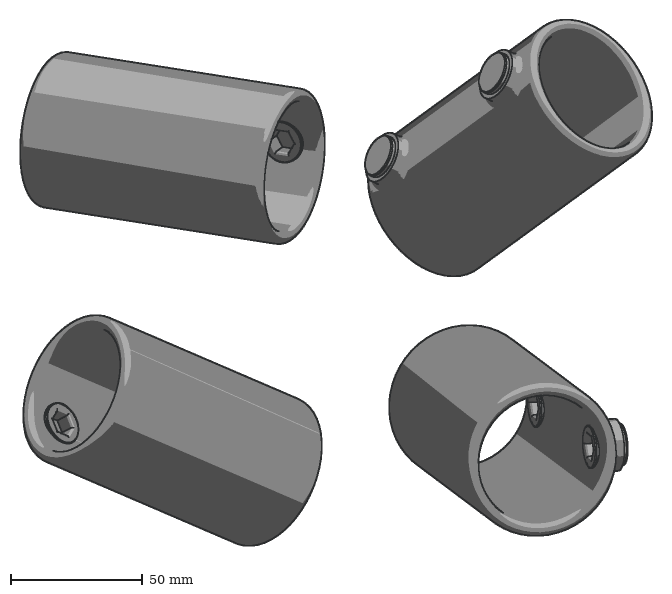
import cadquery as cq
import math

length = 102.0
outer_diameter = 60.0
wall = 5.0
inner_diameter = outer_diameter - 2 * wall
end_radius = wall / 2

boss_diameter = 20.0
boss_top = 34.5
boss_inset = 16.0
boss_fillet = 2.5
root_margin = 1.0
root_reach = boss_diameter / 2 + root_margin
boss_positions = (boss_inset - length / 2, length / 2 - boss_inset)

screw_diameter = 16.5
screw_length = 13.1
screw_top = 36.5
screw_bottom = screw_top - screw_length
chamfer_height = 0.6
chamfer_width = 0.3
socket_width = 8.6
socket_depth = 6.0
mouth_radius = 1.0
corner_ratio = 1 / math.cos(math.pi / 6)


def cylinder_along_y(x, start, end, diameter):
    """Cylinder parallel to Y, between two distances from the sleeve axis."""
    plane = cq.Plane(origin=(x, start, 0), xDir=(1, 0, 0), normal=(0, 1, 0))
    return cq.Workplane(plane).circle(diameter / 2).extrude(end - start)


def tube_end_rim(side):
    """Half-round rim that closes the tube wall at one end (side is -1 or 1)."""
    seat = side * (length / 2 - end_radius)
    tip = side * length / 2
    inner = inner_diameter / 2
    outer = outer_diameter / 2
    return (
        cq.Workplane("XY")
        .moveTo(seat, inner)
        .threePointArc((tip, (inner + outer) / 2), (seat, outer))
        .close()
        .revolve(360, (0, 0, 0), (1, 0, 0))
    )


def make_sleeve():
    """Tube with rounded rims, filleted bosses and a screw hole through each boss."""
    straight_length = length - 2 * end_radius
    body = (
        cq.Workplane("YZ", origin=(-straight_length / 2, 0, 0))
        .circle(outer_diameter / 2)
        .extrude(straight_length)
    )
    for x in boss_positions:
        body = body.union(cylinder_along_y(x, 0, boss_top, boss_diameter))
    for x in boss_positions:
        root_box = cq.selectors.BoxSelector(
            (x - root_reach, inner_diameter / 2, -root_reach),
            (x + root_reach, outer_diameter / 2 + root_margin, root_reach),
        )
        body = body.edges(root_box).fillet(boss_fillet)
    bore = cq.Workplane("YZ", origin=(-length / 2, 0, 0)).circle(inner_diameter / 2).extrude(length)
    body = body.cut(bore)
    for side in (-1, 1):
        body = body.union(tube_end_rim(side))
    for x in boss_positions:
        body = body.cut(cylinder_along_y(x, 0, boss_top, screw_diameter))
    return body


def make_screw(x):
    """Chamfered set screw with a hexagon socket, rounded at the mouth, in its inner face."""
    screw = cylinder_along_y(x, screw_bottom, screw_top, screw_diameter)
    screw = screw.faces("<Y or >Y").chamfer(chamfer_height, chamfer_width)
    plane = cq.Plane(origin=(x, screw_bottom, 0), xDir=(1, 0, 0), normal=(0, 1, 0))
    socket = cq.Workplane(plane).polygon(6, socket_width * corner_ratio).extrude(socket_depth)
    return screw.cut(socket).faces("<Y").edges("%LINE").fillet(mouth_radius)


sleeve = make_sleeve()
screws = [make_screw(x) for x in boss_positions]
result = cq.Compound.makeCompound([sleeve.val(), *[screw.val() for screw in screws]])